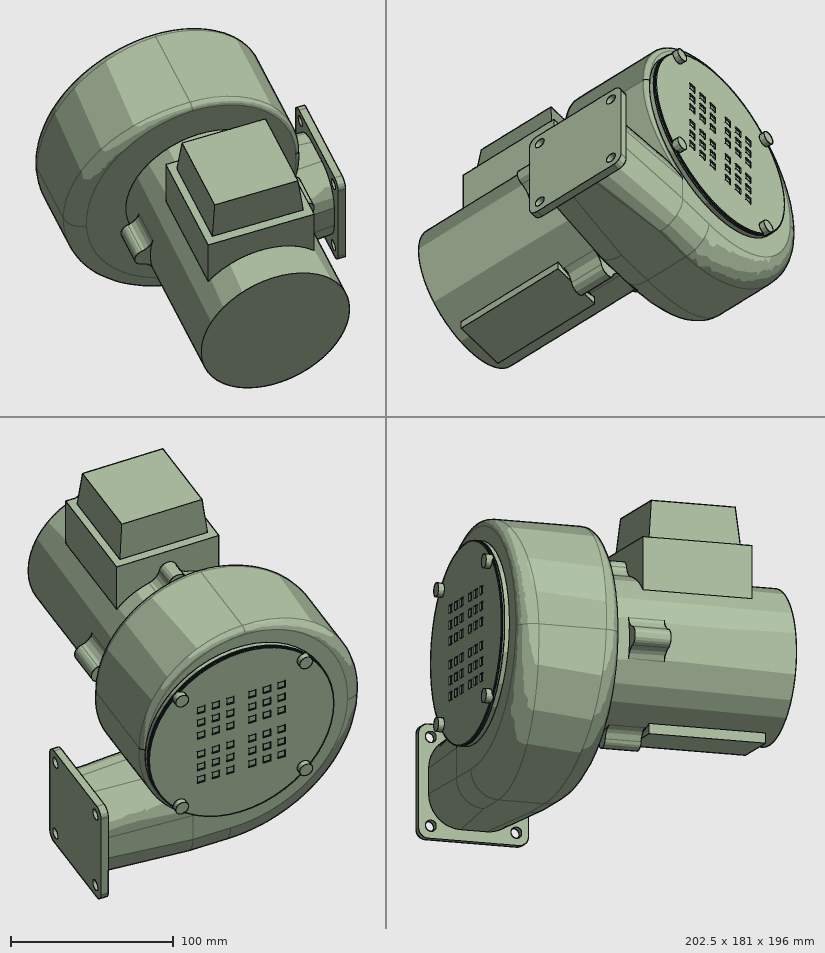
import cadquery as cq
import math


SCROLL_FRONT_X = 9.0
SCROLL_BACK_X = 75.2
SCROLL_WIDTH = SCROLL_BACK_X - SCROLL_FRONT_X
SCROLL_MID_X = (SCROLL_FRONT_X + SCROLL_BACK_X) / 2
SPIRAL_OFFSET = 5.0
SPIRAL_START_RADIUS = 71.0
SPIRAL_STEP = 2 * SPIRAL_OFFSET
EDGE_RADII = (3.0, 4.0, 11.0, 18.0)
EDGE_RADIUS_TAIL = 1.0
SCROLL_BOTTOM_Z = -(SPIRAL_OFFSET + SPIRAL_START_RADIUS + 2 * SPIRAL_STEP)

DUCT_START_Y = 30.7
FLANGE_THICKNESS = 5.0
FLANGE_FACE_Y = 95.0
FLANGE_BACK_Y = FLANGE_FACE_Y - FLANGE_THICKNESS
DUCT_HEIGHT = 58.0
DUCT_END_WIDTH = 59.0
DUCT_CORNER = 21.0
DUCT_MID_Z = SCROLL_BOTTOM_Z + DUCT_HEIGHT / 2
FLANGE_SIZE = 72.0
FLANGE_CORNER = 6.0
FLANGE_HOLE_DIAMETER = 7.0
FLANGE_HOLE_SPACING = 56.0

COVER_FRONT_X = 3.8
COVER_BACK_X = 4.8
SEAT_FRONT_X = 6.0
COVER_DIAMETER = 127.0
GASKET_DIAMETER = 126.0
SEAT_DIAMETER = COVER_DIAMETER
COVER_CHAMFER = 0.5
SCREW_DIAMETER = 8.8
SCREW_CIRCLE_DIAMETER = 120.0
SCREW_COUNT = 4
SCREW_START_ANGLE = 45.0
VENT_SIZE = 5.0
VENT_POSITIONS = (-27.5, -17.5, -7.5, 7.5, 17.5, 27.5)

MOTOR_END_X = 202.5
MOTOR_DIAMETER = 98.0
MOTOR_RADIUS = MOTOR_DIAMETER / 2
LUG_COUNT = 4
LUG_START_X = 93.0
LUG_LENGTH = 23.5
LUG_TIP = 59.2
LUG_CREST_RADIUS = 6.0
LUG_ROOT_RADIUS = 10.0
FOOT_START_X = 117.3
FOOT_LENGTH = 76.3
FOOT_WIDTH = 36.0
FOOT_BOTTOM_Z = -52.0

BOX_START_X = 107.0
BOX_LENGTH = 71.5
BOX_WIDTH = 70.0
BOX_TOP_Z = 67.8
LID_TOP_Z = 93.0
LID_BASE_SIZE = 60.0
LID_TOP_SIZE = 55.0
LID_MID_X = BOX_START_X + BOX_LENGTH / 2


def disc(diameter, start_x, end_x):
    """Cylinder on the motor axis between two X positions."""
    return cq.Workplane("YZ", origin=(start_x, 0, 0)).circle(diameter / 2).extrude(end_x - start_x)


def box(x_range, y_range, z_range):
    """Axis-aligned block given by its limits."""
    size = [high - low for low, high in (x_range, y_range, z_range)]
    corner = (x_range[0], y_range[0], z_range[0])
    return cq.Workplane("XY").box(*size, centered=False).translate(corner)


def round_edges(solid, edges, start_radius, end_radius):
    """Round edges with a radius that changes evenly from the start to the end of each edge."""
    maker = cq.occ_impl.shapes.BRepFilletAPI_MakeFillet(solid.val().wrapped)
    for edge in edges:
        maker.Add(start_radius, end_radius, edge.wrapped)
    return cq.Workplane(obj=cq.Shape.cast(maker.Shape()).Solids()[0])


def scroll_quarter(index):
    """Quarter sector of the scroll, both arc edges rounded; index 0 starts at +Y."""
    radius = SPIRAL_START_RADIUS + index * SPIRAL_STEP
    start_angle = math.radians(90 * index)
    corner_angle = start_angle + math.radians(135)
    centre_y = SPIRAL_OFFSET * math.sqrt(2) * math.cos(corner_angle)
    centre_z = SPIRAL_OFFSET * math.sqrt(2) * math.sin(corner_angle)

    def rim_point(angle):
        return (centre_y + radius * math.cos(angle), centre_z + radius * math.sin(angle))

    sector = (
        cq.Workplane("YZ", origin=(SCROLL_FRONT_X, 0, 0))
        .moveTo(centre_y, centre_z)
        .lineTo(*rim_point(start_angle))
        .threePointArc(rim_point(start_angle + math.pi / 4), rim_point(start_angle + math.pi / 2))
        .close()
        .extrude(SCROLL_WIDTH)
    )
    return round_edges(sector, sector.edges("%CIRCLE").vals(), EDGE_RADII[index], EDGE_RADII[index + 1])


def scroll_throat():
    """Last part of the scroll: level bottom towards the duct, wall curved round the motor axis."""
    wall_y = SPIRAL_START_RADIUS - SPIRAL_OFFSET
    wall_radius = math.hypot(wall_y, SPIRAL_OFFSET)
    wall_start = math.atan2(SPIRAL_OFFSET, wall_y)
    wall_end = -math.acos(DUCT_START_Y / wall_radius)
    wall_middle = (wall_start + wall_end) / 2

    def wall_point(angle):
        return (wall_radius * math.cos(angle), wall_radius * math.sin(angle))

    throat = (
        cq.Workplane("YZ", origin=(SCROLL_FRONT_X, 0, 0))
        .moveTo(-SPIRAL_OFFSET, SPIRAL_OFFSET)
        .lineTo(wall_y, SPIRAL_OFFSET)
        .threePointArc(wall_point(wall_middle), wall_point(wall_end))
        .lineTo(DUCT_START_Y, SCROLL_BOTTOM_Z)
        .lineTo(SPIRAL_OFFSET, SCROLL_BOTTOM_Z)
        .lineTo(SPIRAL_OFFSET, -SPIRAL_OFFSET)
        .lineTo(-SPIRAL_OFFSET, -SPIRAL_OFFSET)
        .close()
        .extrude(SCROLL_WIDTH)
    )
    throat = round_edges(throat, throat.edges("%CIRCLE").vals(), EDGE_RADII[0], EDGE_RADIUS_TAIL)
    return throat.edges("|Y and <Z").fillet(EDGE_RADII[-1])


def duct_wire(y, width, lower_corner):
    """Closed outline of the duct at one Y position: a rectangle with rounded corners."""
    left = SCROLL_MID_X - width / 2
    right = SCROLL_MID_X + width / 2
    bottom = DUCT_MID_Z - DUCT_HEIGHT / 2
    top = DUCT_MID_Z + DUCT_HEIGHT / 2
    plane = cq.Plane(origin=(0, y, 0), xDir=(1, 0, 0), normal=(0, -1, 0))
    return (
        cq.Workplane(plane)
        .moveTo(left + lower_corner, bottom)
        .lineTo(right - lower_corner, bottom)
        .radiusArc((right, bottom + lower_corner), -lower_corner)
        .lineTo(right, top - DUCT_CORNER)
        .radiusArc((right - DUCT_CORNER, top), -DUCT_CORNER)
        .lineTo(left + DUCT_CORNER, top)
        .radiusArc((left, top - DUCT_CORNER), -DUCT_CORNER)
        .lineTo(left, bottom + lower_corner)
        .radiusArc((left + lower_corner, bottom), -lower_corner)
        .close()
        .val()
    )


def outlet_duct():
    """Duct narrowing from the casing width to the flange."""
    start = duct_wire(DUCT_START_Y, SCROLL_WIDTH, EDGE_RADII[-1])
    end = duct_wire(FLANGE_BACK_Y, DUCT_END_WIDTH, DUCT_CORNER)
    return cq.Workplane(obj=cq.Solid.makeLoft([start, end], True))


def outlet_flange():
    """Square flange with rounded corners and four bolt holes."""
    plane = cq.Plane(origin=(SCROLL_MID_X, FLANGE_FACE_Y, DUCT_MID_Z), xDir=(1, 0, 0), normal=(0, -1, 0))
    return (
        cq.Workplane(plane)
        .rect(FLANGE_SIZE, FLANGE_SIZE)
        .extrude(FLANGE_THICKNESS)
        .edges("|Y")
        .fillet(FLANGE_CORNER)
        .faces("<Y")
        .workplane(origin=(SCROLL_MID_X, FLANGE_BACK_Y, DUCT_MID_Z))
        .rect(FLANGE_HOLE_SPACING, FLANGE_HOLE_SPACING, forConstruction=True)
        .vertices()
        .hole(FLANGE_HOLE_DIAMETER)
    )


def inlet_cover():
    """Cover plate on a gasket and seat, with vents and four screw heads."""
    vents = [(y, z) for y in VENT_POSITIONS for z in VENT_POSITIONS]
    plate = disc(COVER_DIAMETER, COVER_FRONT_X, COVER_BACK_X).faces("<X").chamfer(COVER_CHAMFER)
    plate = plate.cut(
        cq.Workplane("YZ", origin=(COVER_FRONT_X, 0, 0))
        .pushPoints(vents)
        .rect(VENT_SIZE, VENT_SIZE)
        .extrude(COVER_BACK_X - COVER_FRONT_X)
    )
    screws = (
        cq.Workplane("YZ")
        .polarArray(SCREW_CIRCLE_DIAMETER / 2, SCREW_START_ANGLE, 360, SCREW_COUNT)
        .circle(SCREW_DIAMETER / 2)
        .extrude(COVER_BACK_X)
    )
    gasket = disc(GASKET_DIAMETER, COVER_BACK_X, SEAT_FRONT_X)
    seat = disc(SEAT_DIAMETER, SEAT_FRONT_X, SCROLL_FRONT_X)
    return plate.union(gasket).union(seat).union(screws)


def lug():
    """Lug on top of the motor: round crest blended into the motor by two concave arcs."""
    crest_z = LUG_TIP - LUG_CREST_RADIUS
    root_distance = MOTOR_RADIUS + LUG_ROOT_RADIUS
    crest_distance = LUG_CREST_RADIUS + LUG_ROOT_RADIUS
    root_z = (root_distance**2 + crest_z**2 - crest_distance**2) / (2 * crest_z)
    root_y = math.sqrt(root_distance**2 - root_z**2)
    crest_share = LUG_CREST_RADIUS / crest_distance
    shoulder_y = root_y * crest_share
    shoulder_z = crest_z + (root_z - crest_z) * crest_share
    motor_share = MOTOR_RADIUS / root_distance
    toe_y = root_y * motor_share
    toe_z = root_z * motor_share
    return (
        cq.Workplane("YZ", origin=(LUG_START_X, 0, 0))
        .moveTo(0, 0)
        .lineTo(toe_y, toe_z)
        .radiusArc((shoulder_y, shoulder_z), LUG_ROOT_RADIUS)
        .threePointArc((0, LUG_TIP), (-shoulder_y, shoulder_z))
        .radiusArc((-toe_y, toe_z), LUG_ROOT_RADIUS)
        .close()
        .extrude(LUG_LENGTH)
    )


def motor():
    """Motor body with four lugs around it and a foot bar underneath."""
    body = disc(MOTOR_DIAMETER, SCROLL_BACK_X, MOTOR_END_X)
    for index in range(LUG_COUNT):
        body = body.union(lug().rotate((0, 0, 0), (1, 0, 0), index * 360 / LUG_COUNT))
    foot = box(
        (FOOT_START_X, FOOT_START_X + FOOT_LENGTH),
        (-FOOT_WIDTH / 2, FOOT_WIDTH / 2),
        (FOOT_BOTTOM_Z, 0),
    )
    return body.union(foot)


def terminal_box():
    """Box standing on the motor, closed by a tapered lid."""
    base = box(
        (BOX_START_X, BOX_START_X + BOX_LENGTH),
        (-BOX_WIDTH / 2, BOX_WIDTH / 2),
        (0, BOX_TOP_Z),
    )
    lid = (
        cq.Workplane("XY", origin=(LID_MID_X, 0, BOX_TOP_Z))
        .rect(LID_BASE_SIZE, LID_BASE_SIZE)
        .workplane(offset=LID_TOP_Z - BOX_TOP_Z)
        .rect(LID_TOP_SIZE, LID_TOP_SIZE)
        .loft(combine=True)
    )
    return base.union(lid)


fan = scroll_throat()
for quarter_index in range(len(EDGE_RADII) - 1):
    fan = fan.union(scroll_quarter(quarter_index))
for section in (outlet_duct(), outlet_flange(), inlet_cover(), motor(), terminal_box()):
    fan = fan.union(section)
result = fan